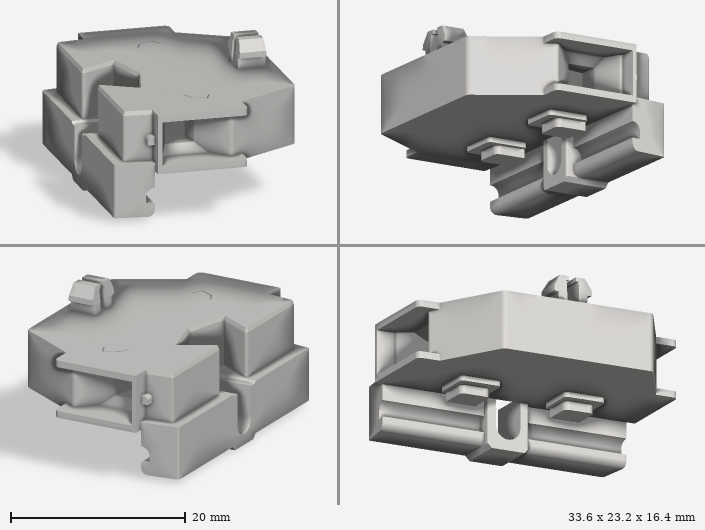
import cadquery as cq
import math


overshoot = 0.67

length = 33.6
half_length = length / 2
depth = 23.2
body_height = 7.0
ear_front = 4.77
ear_back = 15.55
ear_radius = 0.65
back_half_width = 9.6
shoulder_half_width = 13.98
back_radius = 0.67

block_front = 1.38
block_front_half_width = 14.15
block_rear_half_width = 14.45
block_rear = 10.08
bevel_height = 0.5
bevel_width = 0.17
bevel_start = body_height - bevel_height
bevel_angle = math.degrees(math.atan2(bevel_width, bevel_height))
block_corner_radius = 0.3
notch_apex_y = 7.22
notch_corner = (5.45, 5.78)
notch_mouth_half_width = 2.92

foot_top = 1.0
foot_bottom = -5.38
foot_back = 4.67
foot_front_half_width = 15.2
foot_back_half_width = 15.8
foot_corner_radius = 0.3
foot_heel_radius = 0.85
latch_top = -1.9
latch_bottom = -3.85
latch_depth = 1.05
pad_bottom = -5.95
pad_back = 5.6
pad_half_width = 2.65
pad_bottom_half_width = 2.1
pad_back_radius = 0.27
slot_radius = 1.58
slot_center_z = -3.05
saddle_half_width = 2.7
saddle_floor_half_width = 2.4
saddle_depth = 0.27

plate = 0.8
pocket_front = 5.28
pocket_corner_y = 14.08
pocket_back_slope = 1.0
pocket_corner_radius = 0.55
nose_y = 5.55
nose_radius = 0.37
mouth_front_y = 6.5
mouth_back_y = 11.9
throat_front_y = 7.12
throat_back_y = 10.62
throat_bottom = 1.8
throat_top = 5.15
ramp_foot_radius = 0.35
hole_floor_front_x = 8.7
hole_floor_back = (9.35, 10.05)

peg_end_x = 15.5
peg_bottom = 3.12
peg_top = 4.15
peg_reach = 0.85
peg_radius = 0.55

clip_front = 18.55
clip_back = 21.85
clip_inner_x = 0.77
clip_lip_x = 0.45
clip_stem_x = 1.8
clip_hook_x = 2.42
clip_tip_x = 1.6
clip_stem_height = 1.3
clip_hook_height = 1.45
clip_shoulder_height = 2.1
clip_lip_height = 2.95
clip_height = 3.45
clip_end_taper = 0.2

boss_x = 6.72
boss_front = 6.7
boss_back = 11.9
boss_height = 0.6
boss_radius = 0.5
boss_step_back = 10.5
boss_step_bottom = -1.65
boss_step_radius = 0.65

mark_points = [(10.28, 12.7), (11.52, 12.13), (10.72, 10.4), (9.55, 9.88)]
mark_width = 0.17
mark_depth = 0.1


def prism(points, bottom, top):
    """Closed XY outline extruded between two heights."""
    return cq.Workplane("XY").workplane(offset=bottom).polyline(points).close().extrude(top - bottom)


def both_sides(solid):
    """The solid together with its mirror image across X = 0."""
    return solid.union(solid.mirror("YZ"))


def symmetric(right_points):
    """Outline of the right half completed with its mirrored left half."""
    return right_points + [(-x, y) for x, y in reversed(right_points)]


def flank_x(y):
    """Half width of the sloping rear flanks at a given Y."""
    slope = (shoulder_half_width - back_half_width) / (depth - ear_back)
    return back_half_width + slope * (depth - y)


def make_body():
    ears = (
        cq.Workplane("XY")
        .box(length, ear_back - ear_front, body_height, centered=(True, False, False))
        .translate((0, ear_front, 0))
        .edges("|Z and >Y")
        .fillet(ear_radius)
    )
    core_outline = symmetric([(flank_x(pocket_corner_y), pocket_corner_y), (back_half_width, depth)])
    core = prism(core_outline, 0, body_height).edges("|Z and >Y").fillet(back_radius)
    return ears.union(core)


def make_front_block():
    outline = symmetric([(block_front_half_width, block_front), (block_rear_half_width, ear_front),
                         (block_rear_half_width, block_rear)])
    block = prism(outline, foot_top, bevel_start).edges("|Z and <Y").fillet(block_corner_radius)
    cap = block.faces(">Z").wires().toPending().workplane().extrude(
        bevel_height, taper=bevel_angle, combine=False)
    return block.union(cap)


def make_notch():
    """Arrowhead notch, widening towards the top, that splits the block at the front."""
    open_half_width = notch_mouth_half_width + overshoot
    right_half = [(open_half_width, block_front - overshoot), (open_half_width, block_front),
                  (notch_mouth_half_width, block_front), notch_corner]
    left_half = [(-x, y) for x, y in reversed(right_half)]
    outline = right_half + [(0, notch_apex_y)] + left_half
    lower = prism(outline, foot_top, bevel_start)
    for side in (-1, 1):
        mouth = (side * notch_mouth_half_width, block_front, foot_top)
        lower = lower.edges("|Z").edges(cq.NearestToPointSelector(mouth)).fillet(block_corner_radius)
    upper = lower.faces(">Z").wires().toPending().workplane().extrude(
        bevel_height, taper=-bevel_angle, combine=False)
    return lower.union(upper)


def make_foot():
    plan = prism(symmetric([(foot_front_half_width, 0), (foot_back_half_width, ear_front)]),
                 foot_bottom, foot_top)
    plan = plan.edges("|Z and <Y").fillet(foot_corner_radius)
    profile = (
        cq.Workplane("YZ")
        .moveTo(0, foot_top)
        .lineTo(ear_front, foot_top)
        .lineTo(ear_front, 0)
        .lineTo(foot_back, 0)
        .lineTo(foot_back, latch_top)
        .radiusArc((foot_back - latch_depth, latch_top - latch_depth), -latch_depth)
        .lineTo(foot_back - latch_depth, latch_bottom)
        .lineTo(foot_back, latch_bottom)
        .lineTo(foot_back, foot_bottom + foot_heel_radius)
        .radiusArc((foot_back - foot_heel_radius, foot_bottom), foot_heel_radius)
        .lineTo(0, foot_bottom)
        .close()
        .extrude(half_length, both=True)
    )
    return plan.intersect(profile)


def make_pad():
    outline = symmetric([(pad_bottom_half_width, pad_bottom), (pad_half_width, foot_bottom),
                         (pad_half_width, foot_top)])
    pad = cq.Workplane("XZ").polyline(outline).close().extrude(-pad_back)
    return pad.edges("|Z and >Y").fillet(pad_back_radius)


def make_slot():
    """Round-bottomed slot through the foot with a shallow saddle along its top."""
    slot = (
        cq.Workplane("XZ")
        .moveTo(-slot_radius, foot_top)
        .lineTo(-slot_radius, slot_center_z)
        .threePointArc((0, slot_center_z - slot_radius), (slot_radius, slot_center_z))
        .lineTo(slot_radius, foot_top)
        .close()
        .extrude(-pad_back)
    )
    saddle_outline = symmetric([(saddle_floor_half_width, foot_top - saddle_depth),
                                (saddle_half_width, foot_top)])
    saddle = cq.Workplane("XZ").polyline(saddle_outline).close().extrude(-pad_back)
    return slot.union(saddle)


def upright_rectangle(front, back, bottom, top):
    """Vertical rectangular wire standing over the XY segment from front to back."""
    corners = [(*front, bottom), (*back, bottom), (*back, top), (*front, top)]
    return cq.Wire.makePolygon([cq.Vector(*corner) for corner in corners], close=True)


def make_wire_entry():
    """Pocket between the ear plates, narrowing through a funnel into a blind hole."""
    outside = half_length + overshoot
    beyond_y = ear_back + overshoot
    corner = (flank_x(pocket_corner_y), pocket_corner_y)

    def back_wall(y):
        return (corner[0] - (corner[1] - y) / pocket_back_slope, y)

    mouth_back = back_wall(mouth_back_y)
    throat_back = back_wall(throat_back_y)
    mouth_front = (mouth_back[0], mouth_front_y)
    throat_front = (throat_back[0], throat_front_y)
    front_wall_slope = (throat_front[1] - mouth_front[1]) / (mouth_front[0] - throat_front[0])
    nose = (mouth_front[0] + (mouth_front[1] - nose_y) / front_wall_slope, nose_y)

    pocket = prism([(outside, pocket_front), (nose[0], pocket_front), nose, mouth_front, mouth_back, corner,
                    (flank_x(beyond_y), beyond_y), (outside, beyond_y)], plate, body_height - plate)
    for rounded, radius in ((corner, pocket_corner_radius), (nose, nose_radius)):
        nearest = cq.NearestToPointSelector((*rounded, body_height / 2))
        pocket = pocket.edges("|Z").edges(nearest).fillet(radius)

    mouth = upright_rectangle(mouth_front, mouth_back, plate, body_height - plate)
    throat = upright_rectangle(throat_front, throat_back, throat_bottom, throat_top)
    funnel = cq.Workplane(cq.Solid.makeLoft([mouth, throat], True))
    entry = pocket.union(funnel)
    mouth_middle = [(front + back) / 2 for front, back in zip(mouth_front, mouth_back)]
    for height in (plate, body_height - plate):
        ramp_foot = cq.NearestToPointSelector((*mouth_middle, height))
        entry = entry.edges(ramp_foot).fillet(ramp_foot_radius)

    hole = prism([throat_front, throat_back, hole_floor_back, (hole_floor_front_x, throat_front_y)],
                 throat_bottom, throat_top)
    return both_sides(entry.union(hole))


def make_pegs():
    peg_inner_x = block_front_half_width - bevel_width
    peg = (
        cq.Workplane("YZ", origin=(peg_inner_x, 0, 0))
        .moveTo(ear_front, peg_bottom)
        .lineTo(ear_front - peg_reach, peg_bottom)
        .lineTo(ear_front - peg_reach, peg_top - peg_radius)
        .radiusArc((ear_front - peg_reach + peg_radius, peg_top), peg_radius)
        .lineTo(ear_front, peg_top)
        .close()
        .extrude(peg_end_x - peg_inner_x)
    )
    return both_sides(peg)


def make_clip():
    prong = (
        cq.Workplane("XZ", origin=(0, clip_front, body_height))
        .polyline([(clip_inner_x, 0), (clip_stem_x, 0), (clip_stem_x, clip_stem_height),
                   (clip_hook_x, clip_hook_height), (clip_hook_x, clip_shoulder_height),
                   (clip_tip_x, clip_height), (clip_lip_x, clip_height), (clip_lip_x, clip_lip_height),
                   (clip_inner_x, clip_lip_height)])
        .close()
        .extrude(clip_front - clip_back)
    )
    end_envelope = (
        cq.Workplane("YZ", origin=(0, 0, body_height))
        .polyline([(clip_front, 0), (clip_front, clip_hook_height),
                   (clip_front + clip_end_taper, clip_height), (clip_back - clip_end_taper, clip_height),
                   (clip_back, clip_hook_height), (clip_back, 0)])
        .close()
        .extrude(clip_hook_x)
    )
    return both_sides(prong.intersect(end_envelope))


def make_bosses():
    boss_width = boss_back - boss_front
    step_width = boss_step_back - boss_front
    base = (
        cq.Workplane("XY", origin=(boss_x, boss_front + boss_width / 2, 0))
        .rect(boss_width, boss_width)
        .extrude(-boss_height)
        .edges("|Z")
        .fillet(boss_radius)
    )
    step = (
        cq.Workplane("XY", origin=(boss_x, boss_front + step_width / 2, 0))
        .rect(step_width, step_width)
        .extrude(boss_step_bottom)
        .edges("|Z and >Y")
        .fillet(boss_step_radius)
    )
    return both_sides(base.union(step))


def make_marks():
    path = cq.Workplane("XY", origin=(0, 0, body_height)).polyline(mark_points)
    groove = path.offset2D(mark_width / 2, "intersection").extrude(-mark_depth)
    return both_sides(groove)


result = (
    make_body()
    .union(make_front_block())
    .cut(make_notch())
    .cut(make_wire_entry())
    .union(make_foot())
    .union(make_pad())
    .cut(make_slot())
    .union(make_pegs())
    .union(make_clip())
    .union(make_bosses())
    .cut(make_marks())
)